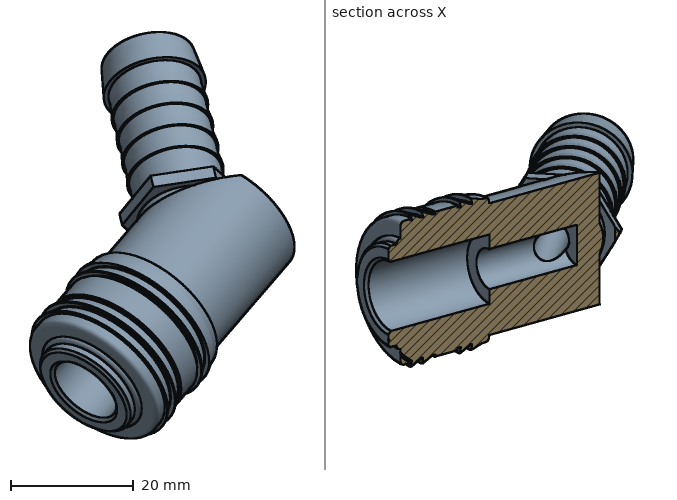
import cadquery as cq
import math

NOZZLE_RADIUS = 9.0
NOZZLE_LENGTH = 1.7
NOZZLE_CHAMFER = 0.5
FLANGE_RADIUS = 9.8
FLANGE_FILLET = FLANGE_RADIUS - NOZZLE_RADIUS
COLLAR_START = NOZZLE_LENGTH + FLANGE_FILLET
COLLAR_END = 20.5
COLLAR_RADIUS = 12.75
COLLAR_FILLET = 0.8
BARREL_RADIUS = 11.7
BODY_LENGTH = 44.0

RING_DIAMETER = 26.8
RING_RADIUS = RING_DIAMETER / 2
GROOVE_RADIUS = 12.4
RING_LENGTH = 2.3
RING_RIM = 0.3
RING_UNDERCUT = 0.3
BAND_RADIUS = 12.8
BAND_START = 9.5
BAND_END = 14.1
LOWER_RINGS_START = 4.5
UPPER_RINGS_START = 14.45

MOUTH_BORE_RADIUS = 6.1
MOUTH_BORE_CHAMFER = 0.55
MOUTH_BORE_DEPTH = COLLAR_END
INNER_BORE_RADIUS = 3.5
INNER_BORE_DEPTH = 38.2

TAIL_ANGLE = 45.0
TAIL_CROSSING = 32.4
SEAT_DISTANCE = 7.4
TAIL_LENGTH = 34.4
NECK_RADIUS = 7.95
NECK_LENGTH = 2.15
HEX_ACROSS_FLATS = 18.0
HEX_THICKNESS = 2.35
CORE_RADIUS = 7.7
BARB_RADIUS = 8.0
BARB_LENGTH = 2.15
BARB_PITCH = 4.5
BARB_COUNT = 4
FIRST_BARB_BASE = 10.45
TIP_END_RADIUS = 7.75
TIP_RADIUS = 8.5
TIP_LENGTH = 5.9
TAIL_BORE_DIAMETER = 5.3


def turn(outline):
    """Revolve a closed (radius, length) outline about the Y axis."""
    return outline.close().revolve(360, (0, 0, 0), (0, 1, 0))


def cylinder(radius, length):
    return cq.Workplane("XZ").circle(radius).extrude(-length)


def add_ring_pair(outline, pair_start, last_radius):
    """Continue the outline over two sawtooth rings, the second tapering to last_radius."""
    for start, top_radius in (
        (pair_start, GROOVE_RADIUS),
        (pair_start + RING_LENGTH, last_radius),
    ):
        outline = (
            outline.lineTo(GROOVE_RADIUS, start + RING_UNDERCUT)
            .lineTo(RING_RADIUS, start)
            .lineTo(RING_RADIUS, start + RING_RIM)
            .lineTo(top_radius, start + RING_LENGTH)
        )
    return outline


def make_body():
    outline = (
        cq.Workplane("XY")
        .lineTo(NOZZLE_RADIUS - NOZZLE_CHAMFER, 0)
        .lineTo(NOZZLE_RADIUS, NOZZLE_CHAMFER)
        .lineTo(NOZZLE_RADIUS, NOZZLE_LENGTH)
        .radiusArc((FLANGE_RADIUS, COLLAR_START), -FLANGE_FILLET)
        .lineTo(COLLAR_RADIUS - COLLAR_FILLET, COLLAR_START)
        .radiusArc((COLLAR_RADIUS, COLLAR_START + COLLAR_FILLET), -COLLAR_FILLET)
        .lineTo(COLLAR_RADIUS, LOWER_RINGS_START + RING_UNDERCUT)
    )
    outline = add_ring_pair(outline, LOWER_RINGS_START, GROOVE_RADIUS)
    outline = (
        outline.lineTo(GROOVE_RADIUS, BAND_START)
        .lineTo(BAND_RADIUS, BAND_START)
        .lineTo(BAND_RADIUS, BAND_END)
        .lineTo(GROOVE_RADIUS, BAND_END)
    )
    outline = add_ring_pair(outline, UPPER_RINGS_START, COLLAR_RADIUS)
    outline = (
        outline.lineTo(COLLAR_RADIUS, COLLAR_END - COLLAR_FILLET)
        .radiusArc((COLLAR_RADIUS - COLLAR_FILLET, COLLAR_END), -COLLAR_FILLET)
        .lineTo(BARREL_RADIUS, COLLAR_END)
        .lineTo(BARREL_RADIUS, BODY_LENGTH)
        .lineTo(0, BODY_LENGTH)
    )
    return turn(outline)


def make_body_bore():
    outline = (
        cq.Workplane("XY")
        .lineTo(MOUTH_BORE_RADIUS + MOUTH_BORE_CHAMFER, 0)
        .lineTo(MOUTH_BORE_RADIUS, MOUTH_BORE_CHAMFER)
        .lineTo(MOUTH_BORE_RADIUS, MOUTH_BORE_DEPTH)
        .lineTo(INNER_BORE_RADIUS, MOUTH_BORE_DEPTH)
        .lineTo(INNER_BORE_RADIUS, INNER_BORE_DEPTH)
        .lineTo(0, INNER_BORE_DEPTH)
    )
    return turn(outline)


def make_tail():
    """Hose tail along +Y, from the body axis out to the barbed end."""
    end = SEAT_DISTANCE + TAIL_LENGTH
    hex_start = SEAT_DISTANCE + NECK_LENGTH
    outline = (
        cq.Workplane("XY")
        .moveTo(0, SEAT_DISTANCE)
        .lineTo(NECK_RADIUS, SEAT_DISTANCE)
        .lineTo(NECK_RADIUS, hex_start)
        .lineTo(CORE_RADIUS, hex_start)
    )
    for index in reversed(range(BARB_COUNT)):
        barb_base = end - FIRST_BARB_BASE - index * BARB_PITCH
        outline = (
            outline.lineTo(CORE_RADIUS, barb_base)
            .lineTo(BARB_RADIUS, barb_base)
            .lineTo(CORE_RADIUS, barb_base + BARB_LENGTH)
        )
    outline = (
        outline.lineTo(CORE_RADIUS, end - TIP_LENGTH)
        .lineTo(TIP_RADIUS, end - TIP_LENGTH)
        .lineTo(TIP_END_RADIUS, end)
        .lineTo(0, end)
    )
    across_corners = HEX_ACROSS_FLATS / math.cos(math.pi / 6)
    hexagon = (
        cq.Workplane("XZ", origin=(0, hex_start, 0))
        .polygon(6, across_corners)
        .extrude(-HEX_THICKNESS)
    )
    return turn(outline).union(hexagon)


def place_on_tail_axis(shape):
    """Swing a shape built along +Y onto the hose tail axis."""
    return shape.rotate((0, 0, 0), (0, 0, 1), TAIL_ANGLE).translate((0, TAIL_CROSSING, 0))


def make_seat_cut():
    """Block that trims the body flat, square to the hose tail axis."""
    size = 2 * BODY_LENGTH
    block = cq.Workplane("XY").box(size, size, size).translate((0, SEAT_DISTANCE + size / 2, 0))
    return place_on_tail_axis(block)


tail_bore = place_on_tail_axis(cylinder(TAIL_BORE_DIAMETER / 2, SEAT_DISTANCE + TAIL_LENGTH))

result = (
    make_body()
    .cut(make_seat_cut())
    .union(place_on_tail_axis(make_tail()))
    .cut(make_body_bore())
    .cut(tail_bore)
)